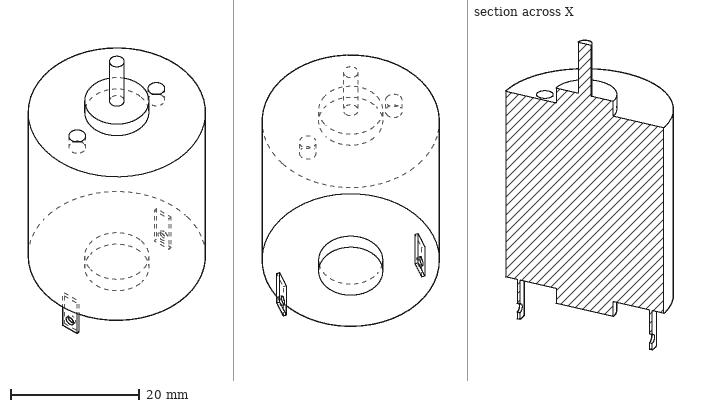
import cadquery as cq

total_height = 51.1
can_diameter = 27.7
can_bottom = 6.9
can_top = 39.55
can_height = can_top - can_bottom

boss_diameter = 10.0
boss_height = 2.6
shaft_diameter = 2.3

mount_hole_diameter = 2.6
mount_hole_depth = 2.55
mount_hole_x = 1.7
mount_hole_y = 7.8

terminal_width = 2.9
terminal_thickness = 0.5
terminal_offset = 11.55
terminal_hole_diameter = 1.5
terminal_hole_height = 1.95


def cylinder(diameter, bottom, height):
    return cq.Workplane("XY", origin=(0, 0, bottom)).circle(diameter / 2).extrude(height)


def terminal(y):
    """Flat tab standing across Y, with an eyelet near its lower end."""
    tab = (
        cq.Workplane("XY", origin=(0, y, 0))
        .rect(terminal_width, terminal_thickness)
        .extrude(can_bottom)
    )
    eyelet = (
        cq.Workplane("XZ", origin=(0, y, terminal_hole_height))
        .circle(terminal_hole_diameter / 2)
        .extrude(terminal_thickness, both=True)
    )
    return tab.cut(eyelet)


body = cylinder(can_diameter, can_bottom, can_height)
body = body.union(cylinder(boss_diameter, can_bottom - boss_height, boss_height))
body = body.union(cylinder(boss_diameter, can_top, boss_height))

body = body.union(cylinder(shaft_diameter, can_top, total_height - can_top))

for side in (-1, 1):
    mount_hole = cylinder(mount_hole_diameter, can_top - mount_hole_depth, mount_hole_depth)
    body = body.cut(mount_hole.translate((side * mount_hole_x, side * mount_hole_y, 0)))
    body = body.union(terminal(side * terminal_offset))

result = body